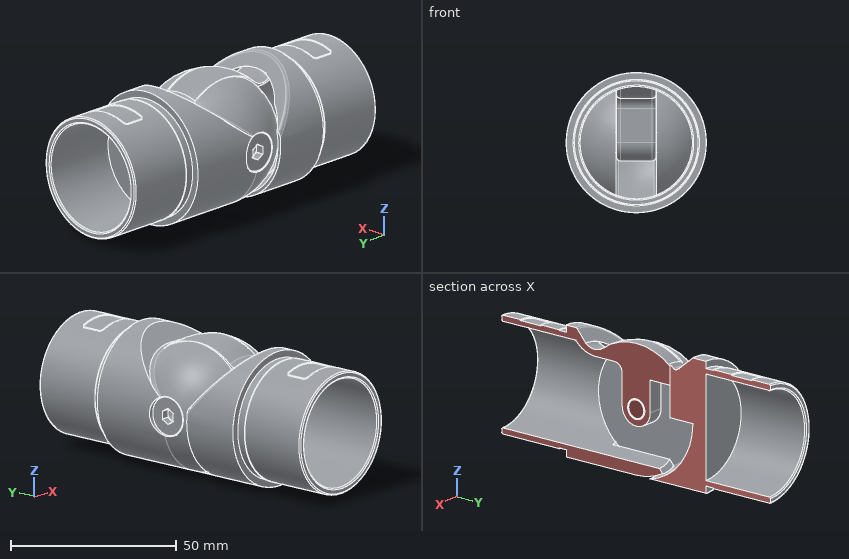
import cadquery as cq
import math

TOTAL_LENGTH = 104.0
HALF_LENGTH = TOTAL_LENGTH / 2

SLEEVE_RADIUS = 42.4 / 2
SLEEVE_END = 27.0
GROOVE_RADIUS = 37.9 / 2
GROOVE_WIDTH = 2.8
SPIGOT_RADIUS = 38.3 / 2
BORE_RADIUS = 34.0 / 2
RIM_CHAMFER = 0.4

BALL_RADIUS = SLEEVE_RADIUS
SOCKET_RADIUS = 21.8

LABEL_WIDTH = 15.6
LABEL_LENGTH = 7.8
LABEL_CENTRE = 40.8
LABEL_DEPTH = 0.3
LABEL_CORNER = 1.0

FORK_FACE = 0.8
BALL_CENTRE = (0, FORK_FACE, 0)
FORK_SLOPE = 40.0
FORK_TOP = 21.9
FORK_FILLET = 1.0
SLOT_WIDTH = 12.3
SLOT_BACK = 13.0
SLOT_FILLET = 1.0

TONGUE_FACE = -8.6
TONGUE_SLOPE = 50.0
TONGUE_TOP = -23.0
TONGUE_RELIEF_FILLET = 1.0
TONGUE_WIDTH = 12.1
TONGUE_TIP = 12.9
TONGUE_FILLET = 1.2
EYE_RADIUS = 5.5
EYE_FACE_TOP = 10.4
BRIDGE_UNDERSIDE = 13.4
BRIDGE_BEND = 5.2
BRIDGE_BEND_START = -12.9
BRIDGE_END = -23.5
NOSE_RADIUS = 10.4
NOSE_START = -15.6

HEAD_RADIUS = 12.0 / 2
HEAD_FACE = -20.0
HEAD_HEIGHT = 5.2
COUNTERBORE_RADIUS = 12.5 / 2
SHANK_RADIUS = 6.0 / 2
SHANK_END = 14.6
EYE_HOLE_RADIUS = 6.5 / 2
HEX_CORNERS = 5.0
HEX_DEPTH = 2.6
HEX_TIP_ANGLE = 120.0

BIG = 3 * SLEEVE_RADIUS
HEAD_SEAT = HEAD_FACE + HEAD_HEIGHT


def box(x_range, y_range, z_range):
    """Axis-aligned box between the given limits."""
    size = [high - low for low, high in (x_range, y_range, z_range)]
    corner = (x_range[0], y_range[0], z_range[0])
    return cq.Workplane("XY").box(*size, centered=False).translate(corner)


def slab(width, y_range=(-BIG, BIG), z_range=(-BIG, BIG)):
    """Box centred on the X = 0 plane."""
    return box((-width / 2, width / 2), y_range, z_range)


def extrude_side(profile, width):
    """Extrude a closed (Y, Z) outline symmetrically along X."""
    return profile.close().extrude(width / 2, both=True)


def side_outline(y, z):
    return cq.Workplane("YZ").moveTo(y, z)


def x_cylinder(radius, start, end):
    return cq.Workplane("YZ", origin=(start, 0, 0)).circle(radius).extrude(end - start)


def tube_blank(dome_radius):
    """Solid sleeve, groove and spigot pointing to +Y, with a dome around the joint centre."""
    groove_end = SLEEVE_END + GROOVE_WIDTH
    dome_middle = dome_radius / math.sqrt(2)
    blank = (
        cq.Workplane("XY")
        .moveTo(0, -dome_radius)
        .threePointArc((dome_middle, -dome_middle), (dome_radius, 0))
        .lineTo(SLEEVE_RADIUS, SLEEVE_END)
        .lineTo(GROOVE_RADIUS, SLEEVE_END)
        .lineTo(GROOVE_RADIUS, groove_end)
        .lineTo(SPIGOT_RADIUS, groove_end)
        .lineTo(SPIGOT_RADIUS, HALF_LENGTH - RIM_CHAMFER)
        .lineTo(SPIGOT_RADIUS - RIM_CHAMFER, HALF_LENGTH)
        .lineTo(0, HALF_LENGTH)
        .close()
        .revolve(360, (0, 0), (0, 1))
    )
    return blank.cut(label_recess())


def label_recess():
    """Shallow rounded panel following the top of the spigot."""
    panel = (
        cq.Workplane("XY")
        .center(0, LABEL_CENTRE)
        .rect(LABEL_WIDTH, LABEL_LENGTH)
        .extrude(BIG)
        .edges("|Z")
        .fillet(LABEL_CORNER)
    )
    core = cq.Workplane("XZ").circle(SPIGOT_RADIUS - LABEL_DEPTH).extrude(-HALF_LENGTH)
    return panel.cut(core)


def bore(start):
    """Bore tool from Y = start to the spigot end, widened by the rim chamfer."""
    return (
        cq.Workplane("XY")
        .moveTo(0, start)
        .lineTo(BORE_RADIUS, start)
        .lineTo(BORE_RADIUS, HALF_LENGTH - RIM_CHAMFER)
        .lineTo(BORE_RADIUS + RIM_CHAMFER, HALF_LENGTH)
        .lineTo(0, HALF_LENGTH)
        .close()
        .revolve(360, (0, 0), (0, 1))
    )


def relief(top, slope, side):
    """Everything above the sloping plane that meets the sleeve top at Y = top.

    side is +1 when the plane rises toward +Y and -1 when it rises toward -Y.
    """
    run = BIG * math.cos(math.radians(slope)) * side
    rise = BIG * math.sin(math.radians(slope))
    outline = (
        side_outline(top + run, SLEEVE_RADIUS + rise)
        .lineTo(top - run, SLEEVE_RADIUS - rise)
        .lineTo(top - run, SLEEVE_RADIUS + rise)
    )
    return extrude_side(outline, BIG)


def fork_slot():
    """Slot between the cheeks: open at the front, spherical behind and below the pin."""
    floor = cq.Workplane("XY").sphere(SOCKET_RADIUS).intersect(slab(SLOT_WIDTH, (0, BIG), (-BIG, 0)))
    side_arcs = cq.selectors.BoxSelector((-BIG, 1, -BIG), (BIG, BIG, -1))
    floor = floor.edges(side_arcs).fillet(SLOT_FILLET)
    front = slab(SLOT_WIDTH, (-BIG, 0))
    upper = slab(SLOT_WIDTH, (0, SLOT_BACK), (0, BIG))
    return floor.union(front).union(upper)


def fork_profile_plane():
    """Section plane of the fork at the ball centre: local X runs up the relief, local Y along its normal."""
    slope = math.radians(FORK_SLOPE)
    up_slope = (0, math.cos(slope), math.sin(slope))
    return cq.Workplane(cq.Plane(BALL_CENTRE, up_slope, (1, 0, 0)))


def fork_ball():
    return (
        fork_profile_plane()
        .moveTo(0, -BALL_RADIUS)
        .threePointArc((BALL_RADIUS, 0), (0, BALL_RADIUS))
        .close()
        .revolve(360, (0, 0), (0, 1))
    )


def fork_relief():
    """Cutting tool around the ball: relief plane and the concave fillet that runs into the ball."""
    slope = math.radians(FORK_SLOPE)
    plane_height = SLEEVE_RADIUS * math.cos(slope) - (FORK_TOP - FORK_FACE) * math.sin(slope)
    arc_height = plane_height + FORK_FILLET
    arc_radius = math.sqrt((BALL_RADIUS + FORK_FILLET) ** 2 - arc_height**2)
    touch = BALL_RADIUS / (BALL_RADIUS + FORK_FILLET)
    return (
        fork_profile_plane()
        .moveTo(BIG, plane_height)
        .lineTo(arc_radius, plane_height)
        .radiusArc((arc_radius * touch, arc_height * touch), FORK_FILLET)
        .lineTo(0, arc_height * touch)
        .lineTo(0, BIG)
        .lineTo(BIG, BIG)
        .close()
        .revolve(360, (0, 0), (0, 1))
    )


def make_fork():
    """Tube half whose slotted ball carries the screw."""
    sleeve = tube_blank(BALL_RADIUS).intersect(slab(BIG, (FORK_FACE, BIG))).cut(fork_relief())
    fork = sleeve.union(fork_ball())
    fork = fork.cut(fork_slot()).cut(bore(SLEEVE_END))
    fork = fork.cut(x_cylinder(COUNTERBORE_RADIUS, -BIG, HEAD_SEAT))
    return fork.cut(x_cylinder(SHANK_RADIUS, HEAD_SEAT, SHANK_END))


def tongue_envelope():
    """Body of revolution about Y: ball curve running into the waisted bridge."""
    start_z = math.sqrt(BALL_RADIUS**2 - BRIDGE_BEND_START**2)
    growth = (BALL_RADIUS + BRIDGE_BEND) / BALL_RADIUS
    bend_y = BRIDGE_BEND_START * growth
    bend_z = start_z * growth
    end_y = bend_y - math.sqrt(BRIDGE_BEND**2 - (bend_z - BORE_RADIUS) ** 2)
    tip_z = math.sqrt(BALL_RADIUS**2 - TONGUE_TIP**2)
    return (
        side_outline(TONGUE_TIP, 0)
        .lineTo(TONGUE_TIP, tip_z)
        .threePointArc((0, BALL_RADIUS), (BRIDGE_BEND_START, start_z))
        .threePointArc((bend_y, bend_z - BRIDGE_BEND), (end_y, BORE_RADIUS))
        .lineTo(BRIDGE_END, BORE_RADIUS)
        .lineTo(BRIDGE_END, 0)
        .close()
        .revolve(360, (0, 0), (1, 0))
    )


def make_tongue():
    """Eye around the screw, rising to the ball curve and bridging back to the sleeve bore."""
    corner = BRIDGE_UNDERSIDE - EYE_FACE_TOP
    outline = (
        side_outline(EYE_RADIUS, 0)
        .threePointArc((0, -EYE_RADIUS), (-EYE_RADIUS, 0))
        .lineTo(-EYE_RADIUS, EYE_FACE_TOP)
        .radiusArc((-EYE_RADIUS - corner, BRIDGE_UNDERSIDE), -corner)
        .lineTo(NOSE_START, BRIDGE_UNDERSIDE)
        .radiusArc((NOSE_START - NOSE_RADIUS, BRIDGE_UNDERSIDE + NOSE_RADIUS), NOSE_RADIUS)
        .lineTo(NOSE_START - NOSE_RADIUS, BIG)
        .lineTo(TONGUE_TIP, BIG)
        .lineTo(TONGUE_TIP, EYE_FACE_TOP)
        .lineTo(EYE_RADIUS, EYE_FACE_TOP)
    )
    web = extrude_side(outline, TONGUE_WIDTH)
    inner_edges = cq.selectors.BoxSelector((-BIG, -BIG, -BIG), (BIG, EYE_RADIUS / 2, BIG - 1))
    web = web.faces("<X or >X").edges(inner_edges).fillet(TONGUE_FILLET)
    return web.intersect(tongue_envelope())


def knuckle_blank():
    """Solid tube half whose sleeve ends in a dome around the joint centre."""
    return tube_blank(BALL_RADIUS).rotate((0, 0, 0), (0, 0, 1), 180)


def make_knuckle():
    """Tube half with the tongue, and a wall strip that closes the slot under the ball."""
    strip = slab(TONGUE_WIDTH, z_range=(-BIG, 0))
    sleeve = knuckle_blank()
    sleeve = sleeve.cut(slab(BIG, (TONGUE_FACE, BIG)).cut(strip))
    sleeve = sleeve.cut(relief(TONGUE_TOP, TONGUE_SLOPE, -1))
    relief_rim = cq.selectors.BoxSelector((-1, TONGUE_TOP, EYE_RADIUS), (1, TONGUE_FACE, SLEEVE_RADIUS))
    sleeve = sleeve.edges(relief_rim).fillet(TONGUE_RELIEF_FILLET)
    sleeve = sleeve.cut(bore(-SLEEVE_RADIUS).rotate((0, 0, 0), (0, 0, 1), 180))
    sleeve = sleeve.cut(cq.Workplane("XY").sphere(SOCKET_RADIUS).cut(strip))
    knuckle = sleeve.union(make_tongue())
    return knuckle.cut(x_cylinder(EYE_HOLE_RADIUS, -BIG, BIG))


def make_screw():
    """Flush cap screw with a hexagon socket ending in a drill point."""
    screw = x_cylinder(HEAD_RADIUS, HEAD_FACE, HEAD_SEAT).union(x_cylinder(SHANK_RADIUS, HEAD_SEAT, SHANK_END))
    face = cq.Workplane("YZ", origin=(HEAD_FACE, 0, 0))
    socket = face.transformed(rotate=(0, 0, 90)).polygon(6, HEX_CORNERS).extrude(HEX_DEPTH)
    flat_radius = HEX_CORNERS / 2 * math.cos(math.radians(30))
    cone = cq.Solid.makeCone(
        flat_radius, 0, flat_radius / math.tan(math.radians(HEX_TIP_ANGLE / 2)),
        cq.Vector(HEAD_FACE + HEX_DEPTH, 0, 0), cq.Vector(1, 0, 0),
    )
    return screw.cut(socket).cut(cq.Workplane(cone))


fork = make_fork()
knuckle = make_knuckle()
screw = make_screw()
result = cq.Compound.makeCompound([body.solids().val() for body in (fork, knuckle, screw)])